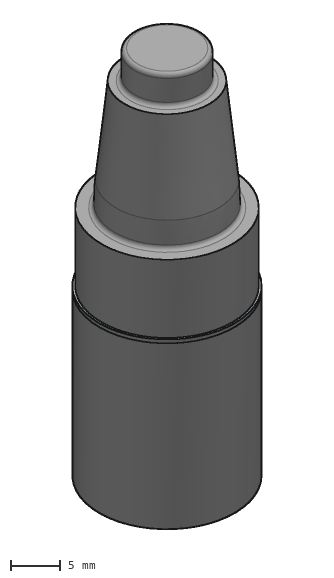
import cadquery as cq
import math

base_diameter = 19.05
base_height = 22.8

flange_thickness = 0.45
collar_diameter = 18.5
collar_top = 32.85

taper_top_radius = 5.95
taper_bottom_radius = 7.25
taper_bottom = 36.3
neck_top = 48.4

nose_diameter = 9.2
total_height = 52.4

edge_fillet = 0.5

neck_foot = collar_top + edge_fillet
taper_angle = math.atan((taper_bottom_radius - taper_top_radius) / (neck_top - taper_bottom))
bend_radius = (taper_bottom - neck_foot) / math.sin(taper_angle)
neck_foot_radius = taper_bottom_radius + bend_radius * (1 - math.cos(taper_angle))
bend_middle = (
    neck_foot_radius - bend_radius * (1 - math.cos(taper_angle / 2)),
    neck_foot + bend_radius * math.sin(taper_angle / 2),
)


def make_base():
    """Plain solid cylinder standing on the XY plane."""
    return cq.Workplane("XY").circle(base_diameter / 2).extrude(base_height)


def make_spindle():
    """Stepped turned body on top of the base, revolved from its half section (radius, height)."""
    flange_radius = base_diameter / 2
    flange_top = base_height + flange_thickness
    collar_radius = collar_diameter / 2
    nose_radius = nose_diameter / 2
    fillet_middle = edge_fillet * (1 - math.sqrt(0.5))

    return (
        cq.Workplane("XZ")
        .moveTo(0, base_height)
        .lineTo(flange_radius, base_height)
        .lineTo(flange_radius, flange_top)
        .lineTo(collar_radius, flange_top)
        .lineTo(collar_radius, collar_top)
        .lineTo(neck_foot_radius + edge_fillet, collar_top)
        .threePointArc(
            (neck_foot_radius + fillet_middle, collar_top + fillet_middle),
            (neck_foot_radius, neck_foot),
        )
        .threePointArc(bend_middle, (taper_bottom_radius, taper_bottom))
        .lineTo(taper_top_radius, neck_top)
        .lineTo(nose_radius + edge_fillet, neck_top)
        .threePointArc(
            (nose_radius + fillet_middle, neck_top + fillet_middle),
            (nose_radius, neck_top + edge_fillet),
        )
        .lineTo(nose_radius, total_height - edge_fillet)
        .threePointArc(
            (nose_radius - fillet_middle, total_height - fillet_middle),
            (nose_radius - edge_fillet, total_height),
        )
        .lineTo(0, total_height)
        .close()
        .revolve(360, (0, 0), (0, 1))
    )


base = make_base()
spindle = make_spindle()

result = cq.Compound.makeCompound([base.val(), spindle.val()])